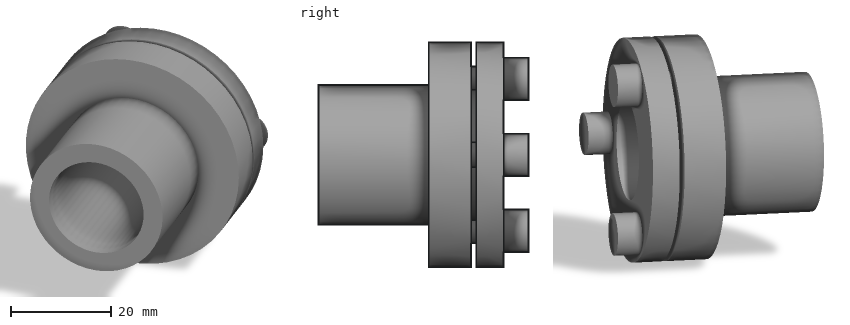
import cadquery as cq
import math

outer_diameter = 45.0
tube_diameter = 28.0
ring_diameter = 26.1
bore_diameter = 20.0
tube_length = 22.0
flange_thickness = 8.5
gap_width = 1.0
plate_thickness = 5.5

bolt_count = 3
bolt_circle_radius = 17.5
head_diameter = 8.5
head_height = 5.0
shank_diameter = 5.0

flange_start = 0.0
flange_end = flange_start + flange_thickness
plate_start = flange_end + gap_width
plate_end = plate_start + plate_thickness
tube_end = flange_start - tube_length


def cylinder(diameter, y_start, y_end, x=0.0, z=0.0):
    """Solid cylinder along Y between two stations."""
    base = cq.Workplane("XZ", origin=(x, y_start, z))
    return base.circle(diameter / 2).extrude(y_start - y_end)


def bolt(angle):
    """Bolt on the bolt circle, its shank reaching from the flange to its head."""
    x = bolt_circle_radius * math.cos(angle)
    z = bolt_circle_radius * math.sin(angle)
    shank = cylinder(shank_diameter, flange_end, plate_end, x, z)
    head = cylinder(head_diameter, plate_end, plate_end + head_height, x, z)
    return shank.union(head)


body = cylinder(tube_diameter, tube_end, flange_start)
body = body.union(cylinder(outer_diameter, flange_start, flange_end))
body = body.union(cylinder(ring_diameter, flange_end, plate_start))
body = body.union(cylinder(outer_diameter, plate_start, plate_end))

for index in range(bolt_count):
    body = body.union(bolt(index * 2 * math.pi / bolt_count))

result = body.cut(cylinder(bore_diameter, tube_end, plate_end))